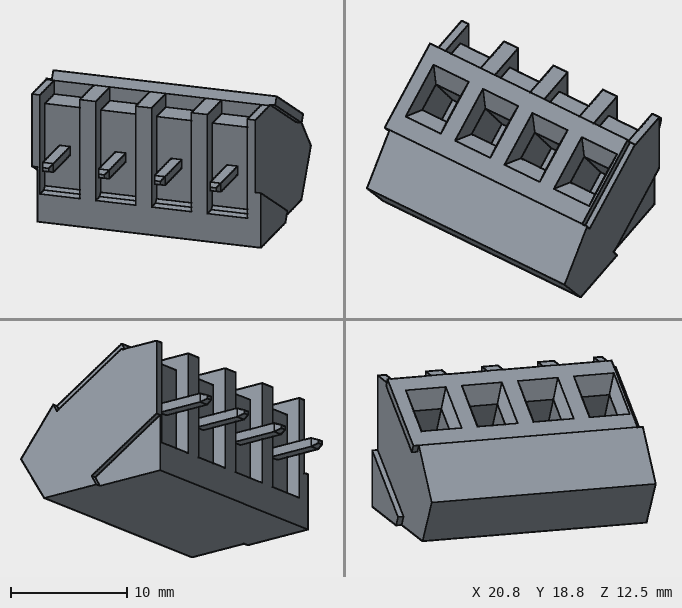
import cadquery as cq
import math


pole_count = 4
pole_pitch = 5.08
body_length = pole_count * pole_pitch
tongue = 0.5

front_height = 11.69
bottom_depth = 12.45
tip_y = 15.02
tip_z = 4.1

slope_angle = 30
lid_rear_y = 11.44
lid_rear_z = 8.31
lid_length = 8.3
lid_thickness = 0.8

wedge_front_z = 5.05
wedge_depth = 7.19

pocket_width = 3.62
pocket_floor_z = 2.58
pocket_depth = 1.33
ledge_depth = 1.05
ledge_rise = 0.3
step_z = 10.44

funnel_length = 5.1
funnel_center = 4.2
funnel_depth = 1.31
wire_hole_side = 2.52
wire_hole_depth = 5.2

pin_width = 0.95
pin_height = 0.8
pin_z = 6.35
pin_length = 3.8
pin_tip_length = 0.62
pin_tip_width = 0.52
pin_tip_height = 0.31

slope_cos = math.cos(math.radians(slope_angle))
slope_sin = math.sin(math.radians(slope_angle))
pole_centers = [(i + 0.5) * pole_pitch for i in range(pole_count)]


def on_lid(along, below):
    """(y, z) of a point 'along' the slope from the lid's rear edge and 'below' its surface."""
    y = lid_rear_y - along * slope_cos - below * slope_sin
    z = lid_rear_z + along * slope_sin - below * slope_cos
    return y, z


lid_underside = [on_lid(0, lid_thickness), on_lid(lid_length, lid_thickness)]
step_depth = lid_underside[1][0] - (lid_underside[1][1] - front_height) * slope_sin / slope_cos


def extrude_side(points, x_start, x_end):
    """Solid with the given (y, z) outline between two X positions."""
    return cq.Workplane("YZ", origin=(x_start, 0, 0)).polyline(points).close().extrude(x_end - x_start)


def front_pocket(x):
    points = [
        (0, pocket_floor_z),
        (ledge_depth, pocket_floor_z),
        (pocket_depth, pocket_floor_z + ledge_rise),
        (pocket_depth, step_z),
        (step_depth, step_z),
        (step_depth, front_height),
        (0, front_height),
    ]
    return extrude_side(points, x - pocket_width / 2, x + pocket_width / 2)


def wire_entry(x):
    """Funnel and wire hole, square to the lid surface."""
    center_y, center_z = on_lid(funnel_center, 0)
    lid_plane = cq.Plane(origin=(x, center_y, center_z), xDir=(1, 0, 0), normal=(0, slope_sin, slope_cos))
    funnel = (
        cq.Workplane(lid_plane)
        .rect(pocket_width, funnel_length)
        .workplane(offset=-funnel_depth)
        .rect(wire_hole_side, wire_hole_side)
        .loft(ruled=True)
    )
    hole = (
        cq.Workplane(lid_plane)
        .workplane(offset=-funnel_depth)
        .rect(wire_hole_side, wire_hole_side)
        .extrude(-wire_hole_depth)
    )
    return funnel.union(hole)


def pin(x):
    front_plane = cq.Plane(origin=(x, pocket_depth, pin_z), xDir=(1, 0, 0), normal=(0, -1, 0))
    shank_length = pocket_depth + pin_length - pin_tip_length
    shank = cq.Workplane(front_plane).rect(pin_width, pin_height).extrude(shank_length)
    tip = (
        cq.Workplane(front_plane)
        .workplane(offset=shank_length)
        .rect(pin_width, pin_height)
        .workplane(offset=pin_tip_length)
        .rect(pin_tip_width, pin_tip_height)
        .loft(ruled=True)
    )
    return shank.union(tip)


housing = extrude_side(
    [
        (0, 0),
        (bottom_depth, 0),
        (tip_y, tip_z),
        on_lid(0, 0),
        lid_underside[0],
        lid_underside[1],
        (step_depth, front_height),
        (0, front_height),
    ],
    0,
    body_length,
)

wedge_rear_z = wedge_front_z - wedge_depth * slope_sin / slope_cos
wedge_outline = [
    (0, 0),
    (0, wedge_front_z),
    (wedge_depth, wedge_rear_z),
    (wedge_depth - wedge_rear_z * slope_sin / slope_cos, 0),
]
lid_outline = [on_lid(0, 0), on_lid(lid_length, 0), lid_underside[1], lid_underside[0]]

result = housing.cut(extrude_side(wedge_outline, 0, tongue))
result = result.union(extrude_side(wedge_outline, tongue, body_length + tongue))

for center in pole_centers:
    result = result.cut(front_pocket(center))

result = result.union(extrude_side(lid_outline, tongue, body_length + tongue))

for center in pole_centers:
    result = result.cut(wire_entry(center)).union(pin(center))